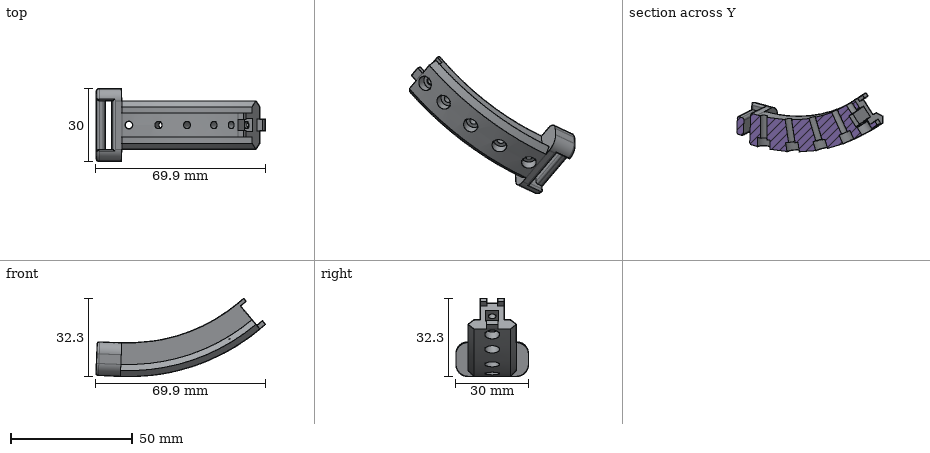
import cadquery as cq
bar_height = 14.0
bar_width = 20.0
web_width = 10.0
flange_face_width = 15.0
flange_height = 5.0
outer_radius = 84.0
start_angle = -2.4
end_angle = 40

hole_diameter = 3.0
counterbore_diameter = 6.0
counterbore_depth = 4.0
radial_hole_count = 4
radial_hole_step = 10
end_hole_inset = 3.6

tab_length = 3.0
upper_tab_height = 1.6
upper_tab_gap = 4.4
lower_tab_height = 1.95
lower_tab_width = 4.8
socket_width = 5.4
socket_height = 5.25
socket_inset = 4.1
socket_depth = 7.0

buckle_width = 30.0
buckle_length = 10.15
buckle_corner_radius = (buckle_width - bar_width) / 2
slot_width = bar_width
rear_wall_thickness = 3.6
crossbar_thickness = 3.5
crossbar_height = 8.05
edge_radius = 1.05


def turn(shape, angle):
    """Swing a shape built at the lowest point of the arc along the bar."""
    return shape.rotate((0, 0, outer_radius), (0, 1, outer_radius), -angle)


def make_bar():
    """Revolve the T section from the buckle to the free end."""
    half_section = [
        (0, 0),
        (flange_face_width / 2, 0),
        (bar_width / 2, flange_height / 2),
        (flange_face_width / 2, flange_height),
        (web_width / 2, flange_height),
        (web_width / 2, bar_height),
        (0, bar_height),
    ]
    bar = (
        cq.Workplane("YZ")
        .polyline(half_section)
        .mirrorY()
        .revolve(end_angle - start_angle, (0, outer_radius, 0), (-1, outer_radius, 0))
    )
    return turn(bar, start_angle)


def make_tab(y_center, width, bottom, height):
    """Straight tab that continues the bar past its free end."""
    tab = cq.Workplane("XY").box(tab_length, width, height, centered=(False, True, False))
    return turn(tab.translate((0, y_center, bottom)), end_angle)


def add_tabs(bar):
    """Two tabs along the inner face and one along the outer face."""
    upper_tab_width = (web_width - upper_tab_gap) / 2
    upper_tab_y = (web_width - upper_tab_width) / 2
    for side in (-1, 1):
        bar = bar.union(
            make_tab(side * upper_tab_y, upper_tab_width, bar_height - upper_tab_height, upper_tab_height)
        )
    return bar.union(make_tab(0, lower_tab_width, 0, lower_tab_height))


def make_socket():
    """Rectangular pocket in the middle of the free end face."""
    socket = cq.Workplane("XY").box(socket_depth, socket_width, socket_height)
    socket_z = bar_height - socket_inset - socket_height / 2
    return turn(socket.translate((-socket_depth / 2, 0, socket_z)), end_angle)


def make_hole(angle, offset=0):
    """Hole counterbored from the outer face, shifted along the bar by the offset."""
    margin = 0.7
    shank = cq.Workplane("XY").circle(hole_diameter / 2).extrude(bar_height + margin)
    counterbore = (
        cq.Workplane("XY")
        .workplane(offset=-margin)
        .circle(counterbore_diameter / 2)
        .extrude(counterbore_depth + margin)
    )
    return turn(shank.union(counterbore).translate((offset, 0, 0)), angle)


def make_slot_block(front, length, height):
    """Block as wide as the strap slot, reaching back from the buckle's front face."""
    block = cq.Workplane("XY").box(length, slot_width, height, centered=(False, True, True))
    return block.translate((front, 0, 0))


def make_buckle():
    """Rounded block with a strap slot that is open to the front above and below a crossbar."""
    outline = (
        cq.Workplane("XY")
        .box(buckle_length, buckle_width, bar_height)
        .edges("|X")
        .fillet(buckle_corner_radius)
        .faces("<X")
        .edges()
        .fillet(edge_radius)
    )
    front = -buckle_length / 2
    opening_length = buckle_length - rear_wall_thickness
    frame = (
        cq.Workplane("XY")
        .box(buckle_length, buckle_width, bar_height)
        .cut(make_slot_block(front, opening_length, bar_height))
        .union(make_slot_block(front, crossbar_thickness, crossbar_height))
    )

    margin = 0.1
    around_opening = cq.selectors.BoxSelector(
        (front - margin, -slot_width / 2 - margin, -bar_height / 2 - margin),
        (front + opening_length + margin, slot_width / 2 + margin, bar_height / 2 + margin),
    )
    cross_edges = frame.edges(cq.selectors.StringSyntaxSelector("|Y") & around_opening)
    front_uprights = frame.faces("<X").edges(cq.selectors.StringSyntaxSelector("|Z") & around_opening)
    side_rims = frame.faces("<Z or >Z").edges(cq.selectors.StringSyntaxSelector("|X") & around_opening)
    rounded_edges = cross_edges.add(front_uprights).add(side_rims)
    frame = frame.newObject(rounded_edges.vals()).fillet(edge_radius)

    buckle = outline.intersect(frame)
    return turn(buckle.translate((front, 0, bar_height / 2)), start_angle)


result = add_tabs(make_bar().union(make_buckle())).cut(make_socket())
for index in range(radial_hole_count):
    result = result.cut(make_hole(index * radial_hole_step))
result = result.cut(make_hole(end_angle, -end_hole_inset))